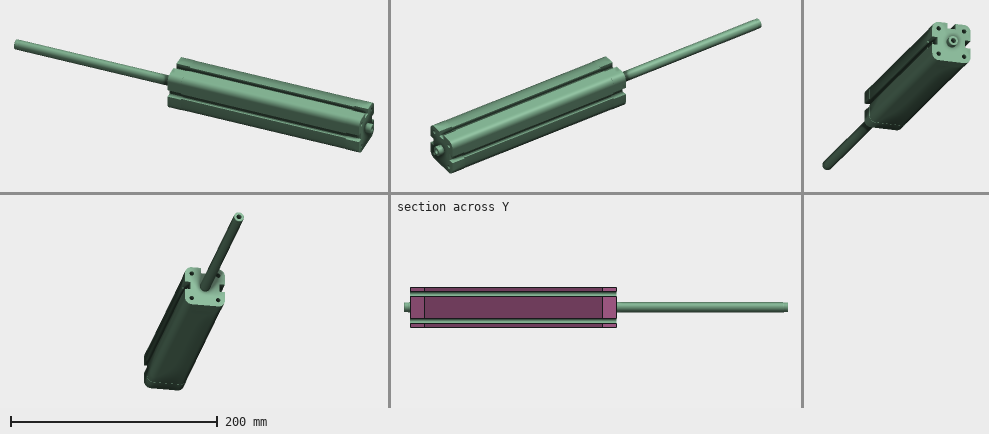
import cadquery as cq


CAP_SIDE = 39.5
TUBE_SIDE = 39.0
HOUSING_START = 166.0
HOUSING_LENGTH = 199.2
CAP_LENGTH = 14.0
TUBE_LENGTH = HOUSING_LENGTH - 2 * CAP_LENGTH
CORNER_RADIUS = 6.5
BOLT_HOLE_DIAMETER = 4.5
BOLT_HOLE_SPACING = 26

CAP_SLOT_WIDTH = 7.8
CAP_SLOT_DEPTH = 5.5
TUBE_SLOT_WIDTH = CAP_SLOT_WIDTH
TUBE_SLOT_DEPTH = 5.0
TUBE_MOUTH_WIDTH = 5.5
TUBE_LIP_THICKNESS = 1.5
SLOT_ANGLES = (-90, 0, 90)

ROD_LENGTH = 371
ROD_DIAMETER = 10.0
ROD_CHAMFER = 0.5
FLAT_LENGTH = 4.0
ACROSS_FLATS = 9.3
NECK_STEP = 0.1
SHOULDER_LENGTH = 0.93
THREAD_HOLE_DIAMETER = 5.0
THREAD_HOLE_DEPTH = 10.0
DRILL_TIP_LENGTH = 1.5


def slot_cutter(width, top_depth, bottom_depth, length, angle):
    """Bar that cuts the top between two depths below the cap face, turned about X by the angle."""
    height = bottom_depth - top_depth
    middle = CAP_SIDE / 2 - (top_depth + bottom_depth) / 2
    bar = cq.Workplane("YZ").center(0, middle).rect(width, height).extrude(length)
    return bar.rotate((0, 0, 0), (1, 0, 0), angle)


def housing_block(side, length):
    """Square block with round corners, the four bolt holes and the rod hole, starting at X = 0."""
    return (
        cq.Workplane("YZ")
        .rect(side, side)
        .extrude(length)
        .edges("|X")
        .fillet(CORNER_RADIUS)
        .faces("<X")
        .workplane(centerOption="CenterOfBoundBox")
        .hole(ROD_DIAMETER)
        .faces("<X")
        .workplane(centerOption="CenterOfBoundBox")
        .rect(BOLT_HOLE_SPACING, BOLT_HOLE_SPACING, forConstruction=True)
        .vertices()
        .hole(BOLT_HOLE_DIAMETER)
    )


def end_cap(start):
    """End cap with plain rectangular slots."""
    cap = housing_block(CAP_SIDE, CAP_LENGTH)
    for angle in SLOT_ANGLES:
        cap = cap.cut(slot_cutter(CAP_SLOT_WIDTH, 0, CAP_SLOT_DEPTH, CAP_LENGTH, angle))
    return cap.translate((start, 0, 0))


def cylinder_tube(start):
    """Tube with slots whose mouths are narrowed by lips."""
    tube = housing_block(TUBE_SIDE, TUBE_LENGTH)
    for angle in SLOT_ANGLES:
        mouth = slot_cutter(TUBE_MOUTH_WIDTH, 0, TUBE_LIP_THICKNESS, TUBE_LENGTH, angle)
        chamber = slot_cutter(TUBE_SLOT_WIDTH, TUBE_LIP_THICKNESS, TUBE_SLOT_DEPTH, TUBE_LENGTH, angle)
        tube = tube.cut(mouth).cut(chamber)
    return tube.translate((start, 0, 0))


def turned_half():
    """Half of the rod from its X = 0 end to its middle: chamfer, neck, tapered shoulder and threaded hole."""
    rod_radius = ROD_DIAMETER / 2
    neck_radius = rod_radius - NECK_STEP
    hole_radius = THREAD_HOLE_DIAMETER / 2
    middle = ROD_LENGTH / 2
    return (
        cq.Workplane("XY")
        .moveTo(0, -hole_radius)
        .lineTo(0, -(neck_radius - ROD_CHAMFER))
        .lineTo(ROD_CHAMFER, -neck_radius)
        .lineTo(FLAT_LENGTH, -neck_radius)
        .lineTo(FLAT_LENGTH + SHOULDER_LENGTH, -rod_radius)
        .lineTo(middle, -rod_radius)
        .lineTo(middle, 0)
        .lineTo(THREAD_HOLE_DEPTH + DRILL_TIP_LENGTH, 0)
        .lineTo(THREAD_HOLE_DEPTH, -hole_radius)
        .close()
        .revolve(360, (0, 0), (1, 0))
    )


def wrench_flats():
    """Two bars that cut the flats on the top and bottom of the neck at the X = 0 end."""
    return (
        cq.Workplane("YZ")
        .rect(2 * ROD_DIAMETER, 2 * ROD_DIAMETER)
        .rect(2 * ROD_DIAMETER, ACROSS_FLATS)
        .extrude(FLAT_LENGTH)
    )


def piston_rod():
    """Rod through the whole housing, with both ends alike."""
    half = turned_half().cut(wrench_flats())
    return half.union(half.mirror("YZ", (ROD_LENGTH / 2, 0, 0))).clean()


tube_start = HOUSING_START + CAP_LENGTH
end_caps = [end_cap(start) for start in (HOUSING_START, tube_start + TUBE_LENGTH)]
tube = cylinder_tube(tube_start)
rod = piston_rod()

result = cq.Compound.makeCompound([*[cap.val() for cap in end_caps], tube.val(), rod.val()])